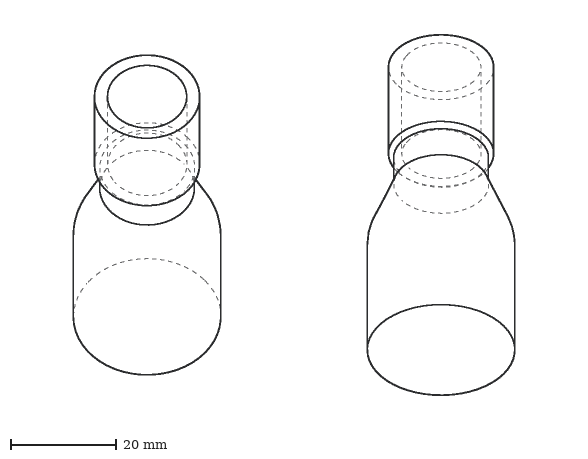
import cadquery as cq
import math

total_height = 68.0
body_height = 25.3
neck_bottom = 39.9
neck_top = 46.2

body_radius = 28.0 / 2
neck_radius = 18.0 / 2
pipe_radius = 20.0 / 2
bore_radius = 15.0 / 2
shoulder_radius = 10.0

flare_top = neck_top + pipe_radius - neck_radius


def shoulder_point(angle):
    """Point (r, z) on the rounded shoulder, at an angle up from horizontal."""
    center_radius = body_radius - shoulder_radius
    return (
        center_radius + shoulder_radius * math.cos(angle),
        body_height + shoulder_radius * math.sin(angle),
    )


neck_offset_r = neck_radius - (body_radius - shoulder_radius)
neck_offset_z = neck_bottom - body_height
neck_distance = math.hypot(neck_offset_r, neck_offset_z)
neck_angle = math.atan2(neck_offset_z, neck_offset_r)
tangent_angle = neck_angle - math.acos(shoulder_radius / neck_distance)


def make_outer_body():
    """Revolved outside: body, rounded shoulder, cone, neck, flare and pipe."""
    profile = (
        cq.Workplane("XZ")
        .lineTo(body_radius, 0)
        .lineTo(body_radius, body_height)
        .threePointArc(shoulder_point(tangent_angle / 2), shoulder_point(tangent_angle))
        .lineTo(neck_radius, neck_bottom)
        .lineTo(neck_radius, neck_top)
        .lineTo(pipe_radius, flare_top)
        .lineTo(pipe_radius, total_height)
        .lineTo(0, total_height)
        .close()
    )
    return profile.revolve(360, (0, 0, 0), (0, 1, 0))


def make_bore():
    """Blind bore of the pipe, ending level with the top of the flare."""
    bore_depth = total_height - flare_top
    return cq.Workplane("XY").workplane(offset=flare_top).circle(bore_radius).extrude(bore_depth)


result = make_outer_body().cut(make_bore())